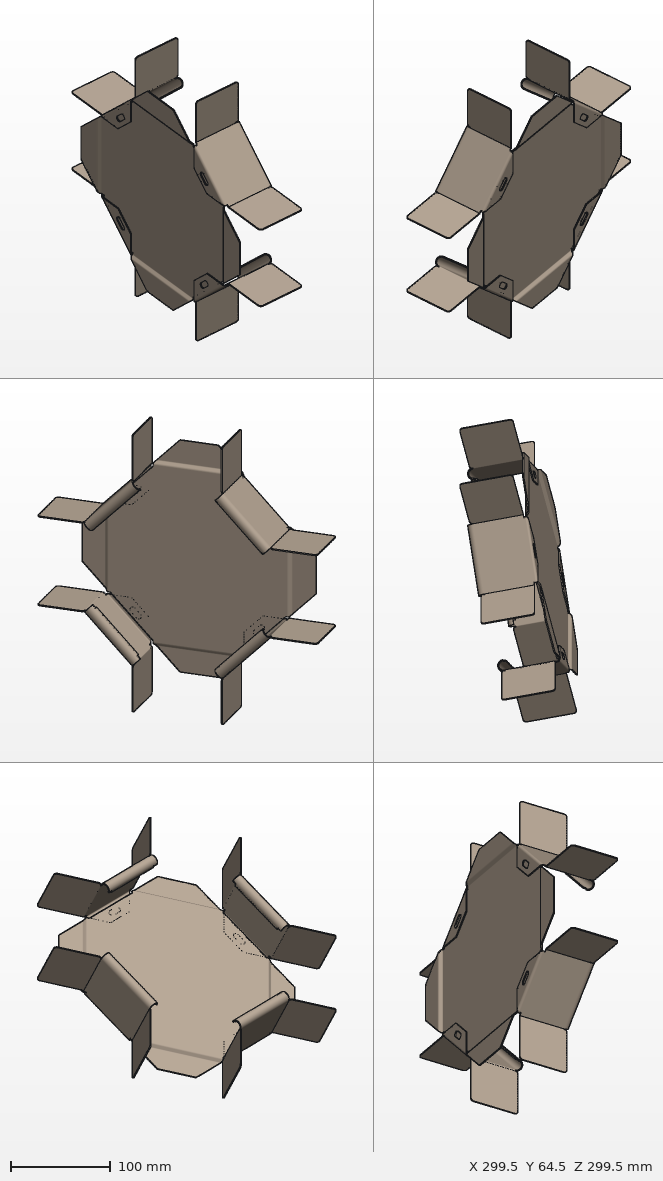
import cadquery as cq
import math

SPAN = 299.5
SHEET = 1.3
DEPTH = 64.5
BEND_INNER = 1.35

PANEL_FRONT = 3.3
PANEL_HALF = 95.5
PANEL_CORNER = 100.5
STEP_SIDE = 48.2
FLANGE_REACH = 125.2
FLANGE_CORNER = 103.0
BASE_SHIFT = 1.0

WALL_FACE = 104.8
TAB_INNER = 85.0
TAB_MARGIN = 50.0
CURL_RADIUS = 6.0
LIP_LEG = 2.5
LEG_SETBACK = 4.5
SLOT_CENTRE = 93.5
SLOT_LENGTH = 14.7
SLOT_WIDTH = 6.3
WING_FACE = 48.5
WING_BOTTOM = 6.3
WING_TOP = 61.0
WING_CORNER = 3.3

ROOT2 = math.sqrt(2)
BEND_OUTER = BEND_INNER + SHEET
STEP_RUN = PANEL_FRONT + (BEND_INNER + BEND_OUTER) * (ROOT2 - 1)
TAB_FRONT = PANEL_FRONT - SHEET
CURL_START = DEPTH - CURL_RADIUS
CURL_AXIS = WALL_FACE - CURL_RADIUS
WALL_HALF = WALL_FACE - WING_FACE * ROOT2
WING_LENGTH = SPAN / 2 - (WALL_FACE * ROOT2 - WING_FACE)
TAB_SIDE_OFFSET = TAB_MARGIN * ROOT2


def plan_prism(points, bottom, top):
    """Prism along Y over an (x, z) outline."""
    outline = cq.Workplane("XZ").polyline(points).close()
    return outline.extrude(bottom - top).translate((0, bottom, 0))


def extrude_along_x(section, half_length):
    """Symmetric solid from an outline on the YZ plane."""
    return section.extrude(half_length, both=True)


def on_arc(axis, radius, angle):
    """Point (y, z) on a bend, the angle measured from +Y towards +Z."""
    turn = math.radians(angle)
    return (axis[0] + radius * math.cos(turn), axis[1] + radius * math.sin(turn))


def about_y(body, angle):
    return body.rotate((0, 0, 0), (0, 1, 0), angle)


def octagon(half, corner):
    """Square of the given half size with its corners cut at a distance from the centre."""
    side = corner * ROOT2 - half
    return [
        (half, side), (side, half), (-side, half), (-half, side),
        (-half, -side), (-side, -half), (side, -half), (half, -side),
    ]


def make_flange():
    """Step sloping at 45 degrees between two bends, and the flat flange on the +Z side."""
    upper_axis = (PANEL_FRONT - BEND_INNER, PANEL_HALF)
    lower_axis = (BEND_OUTER, PANEL_HALF + STEP_RUN)
    section = (
        cq.Workplane("YZ")
        .moveTo(PANEL_FRONT, PANEL_HALF - SHEET)
        .lineTo(*on_arc(upper_axis, BEND_INNER, 0))
        .threePointArc(on_arc(upper_axis, BEND_INNER, 22.5), on_arc(upper_axis, BEND_INNER, 45))
        .lineTo(*on_arc(lower_axis, BEND_OUTER, 225))
        .threePointArc(on_arc(lower_axis, BEND_OUTER, 202.5), on_arc(lower_axis, BEND_OUTER, 180))
        .lineTo(0, FLANGE_REACH)
        .lineTo(SHEET, FLANGE_REACH)
        .lineTo(*on_arc(lower_axis, BEND_INNER, 180))
        .threePointArc(on_arc(lower_axis, BEND_INNER, 202.5), on_arc(lower_axis, BEND_INNER, 225))
        .lineTo(*on_arc(upper_axis, BEND_OUTER, 45))
        .threePointArc(on_arc(upper_axis, BEND_OUTER, 22.5), on_arc(upper_axis, BEND_OUTER, 0))
        .lineTo(PANEL_FRONT + SHEET, PANEL_HALF - SHEET)
        .close()
    )
    limit = plan_prism(octagon(FLANGE_REACH, FLANGE_CORNER), 0, DEPTH)
    return extrude_along_x(section, STEP_SIDE).intersect(limit)


def make_base():
    base = plan_prism(octagon(PANEL_HALF, PANEL_CORNER), PANEL_FRONT, PANEL_FRONT + SHEET)
    flange = make_flange()
    for side in range(4):
        base = base.union(about_y(flange, 90 * side))
    return base.translate((-BASE_SHIFT, 0, BASE_SHIFT))


def make_tab():
    """Slotted tab and the bend that leads from it into the wall."""
    axis = (TAB_FRONT + BEND_OUTER, WALL_FACE - BEND_OUTER)
    section = (
        cq.Workplane("YZ")
        .moveTo(TAB_FRONT, TAB_INNER)
        .lineTo(*on_arc(axis, BEND_OUTER, 180))
        .threePointArc(on_arc(axis, BEND_OUTER, 135), on_arc(axis, BEND_OUTER, 90))
        .lineTo(WING_BOTTOM, WALL_FACE)
        .lineTo(WING_BOTTOM, WALL_FACE - SHEET)
        .lineTo(*on_arc(axis, BEND_INNER, 90))
        .threePointArc(on_arc(axis, BEND_INNER, 135), on_arc(axis, BEND_INNER, 180))
        .lineTo(PANEL_FRONT, TAB_INNER)
        .close()
    )
    inner_half = TAB_INNER - TAB_SIDE_OFFSET
    outer_half = WALL_FACE - TAB_SIDE_OFFSET
    limit = plan_prism([
        (-inner_half, TAB_INNER), (inner_half, TAB_INNER),
        (outer_half, WALL_FACE), (-outer_half, WALL_FACE),
    ], 0, DEPTH)
    slot = (
        cq.Workplane("XZ")
        .center(0, SLOT_CENTRE)
        .slot2D(SLOT_LENGTH, SLOT_WIDTH)
        .extrude(-DEPTH)
    )
    return extrude_along_x(section, WALL_HALF).intersect(limit).cut(slot)


def make_wall():
    """Flat wall with its top edge rolled inwards into a half-round lip."""
    far_face = CURL_AXIS - CURL_RADIUS
    section = (
        cq.Workplane("YZ")
        .moveTo(WING_BOTTOM, WALL_FACE)
        .lineTo(CURL_START, WALL_FACE)
        .threePointArc((DEPTH, CURL_AXIS), (CURL_START, far_face))
        .lineTo(CURL_START, far_face + SHEET)
        .threePointArc((DEPTH - SHEET, CURL_AXIS), (CURL_START, WALL_FACE - SHEET))
        .lineTo(WING_BOTTOM, WALL_FACE - SHEET)
        .close()
    )
    leg = cq.Workplane("XY").box(
        2 * (WALL_HALF - LEG_SETBACK), LIP_LEG, SHEET, centered=(True, False, False)
    ).translate((0, CURL_START - LIP_LEG, far_face))
    return extrude_along_x(section, WALL_HALF).union(leg)


def make_wing():
    """Wing on the +X end of the wall, bent outwards by 45 degrees."""
    plate = (
        cq.Workplane("XY")
        .box(WING_LENGTH, WING_TOP - WING_BOTTOM, SHEET, centered=False)
        .edges("|Z and (>X or >Y)")
        .fillet(WING_CORNER)
        .translate((0, WING_BOTTOM, -SHEET))
        .rotate((0, 0, 0), (0, 1, 0), -45)
    )
    bend = (
        cq.Workplane("XZ")
        .lineTo(0, -SHEET)
        .radiusArc((SHEET / ROOT2, -SHEET / ROOT2), -SHEET)
        .close()
        .extrude(WING_BOTTOM - CURL_START)
        .translate((0, WING_BOTTOM, 0))
    )
    return plate.union(bend).translate((WALL_HALF, 0, WALL_FACE))


def make_bracket():
    wing = make_wing()
    return make_tab().union(make_wall()).union(wing).union(wing.mirror("YZ"))


base = make_base()
bracket = make_bracket()
brackets = [about_y(bracket, 45 + 90 * corner) for corner in range(4)]

result = cq.Compound.makeCompound([
    base.solids().val(),
    *[body.solids().val() for body in brackets],
])